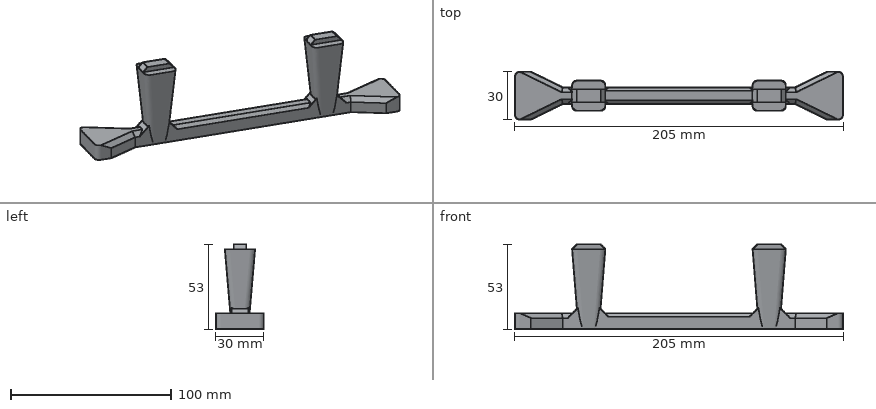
import cadquery as cq

length = 205.0
bar_width = 10.5
bar_height = 10.0
middle_chamfer = 2.3

flare_width = 30.0
flare_side = 10.0
flare_length = 30.0
flare_corner_radius = 3.0
end_chamfer = 3.0

post_spacing = 112.8
post_height = 50.0
post_top_x = 21.0
post_top_y = 19.0
post_base_x = 13.0
post_base_y = bar_width
post_corner_radius = 3.3
total_height = 53.0
key_height = total_height - post_height
key_width = 8.0

gusset_half_base = 20.0
gusset_height = 13.5

post_x = post_spacing / 2


def make_flared_end():
    """Left end of the bar, from the outer edge to the post centre."""
    outer = -length / 2
    half_flare = flare_width / 2
    half_bar = bar_width / 2
    side_end = outer + flare_side
    neck_start = outer + flare_length
    outline = [
        (outer, -half_flare),
        (side_end, -half_flare),
        (neck_start, -half_bar),
        (-post_x, -half_bar),
        (-post_x, half_bar),
        (neck_start, half_bar),
        (side_end, half_flare),
        (outer, half_flare),
    ]
    end = cq.Workplane("XY").polyline(outline).close().extrude(bar_height)
    end = end.edges("|Z and <X").fillet(flare_corner_radius)

    bevel_start = (side_end, -flare_width, 0)
    bevel_end = (-post_x, flare_width, 2 * bar_height)
    bevel_zone = cq.selectors.BoxSelector(bevel_start, bevel_end)
    return end.faces(">Z").edges(bevel_zone).edges("not(|Y)").chamfer(end_chamfer)


def make_middle_bar():
    bar = cq.Workplane("XY").box(post_spacing, bar_width, bar_height, centered=(True, True, False))
    return bar.edges("|X and >Z").chamfer(middle_chamfer)


def make_trapezoid(half_base, base_z, height, width):
    """Block along Y whose two ends in X slope inward at 45 degrees."""
    half_top = half_base - height
    outline = [
        (-half_base, base_z),
        (half_base, base_z),
        (half_top, base_z + height),
        (-half_top, base_z + height),
    ]
    return cq.Workplane("XZ").polyline(outline).close().extrude(width / 2, both=True)


def make_post():
    """Post, key and gussets, centred on the Z axis."""
    post = (
        cq.Workplane("XY")
        .rect(post_base_x, post_base_y)
        .workplane(offset=post_height)
        .rect(post_top_x, post_top_y)
        .loft(combine=True)
    )
    post = post.edges("not(#Z)").fillet(post_corner_radius)

    key = make_trapezoid(post_top_x / 2, post_height, key_height, key_width)
    gusset = make_trapezoid(gusset_half_base, 0, gusset_height, bar_width)
    return post.union(key).union(gusset)


flared_end = make_flared_end()
post = make_post()

result = make_middle_bar()
result = result.union(flared_end).union(flared_end.mirror("YZ"))
for x in (-post_x, post_x):
    result = result.union(post.translate((x, 0, 0)))